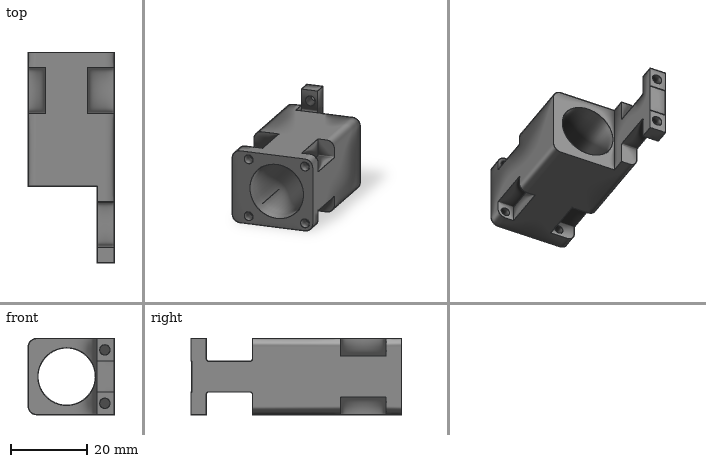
import cadquery as cq

x_left = -10.1
x_right = 12.5
half_height = 10.0
corner_radius = 2.25
bore_diameter = 15.0

body_length = 35.1
flange_length = 4.0
neck_length = 12.0
pad_thickness = 3.9
pad_step = 0.16
flange_front = -flange_length
neck_front = flange_front - neck_length
bar_front = neck_front - pad_thickness
pad_front = bar_front - pad_step

arm_x = 7.95
neck_half_height = 4.07
neck_fillet = 0.5

end_wall = 4.0
pocket_length = 12.0
pocket_back = body_length - end_wall
pocket_front = pocket_back - pocket_length
pocket_x = 5.5
pocket_floor = 5.4
pocket_fillet = 0.2

pad_hole_diameter = 2.7
pad_hole_x = 10.0
pad_hole_z = 7.0
wall_hole_diameter = 2.4
wall_hole_offset = 7.9


def box(x0, x1, y0, y1, z0, z1):
    """Axis-aligned box between two opposite corners."""
    return cq.Workplane("XY").box(x1 - x0, y1 - y0, z1 - z0, centered=False).translate((x0, y0, z0))


def cylinder_y(x, z, diameter, y0, y1):
    """Cylinder parallel to Y between two stations."""
    axis = cq.Vector(0, 1, 0)
    return cq.Workplane(cq.Solid.makeCylinder(diameter / 2, y1 - y0, cq.Vector(x, y0, z), axis))


def make_block():
    """Rounded block whose front is cut back to leave the flange on the right."""
    block = box(x_left, x_right, flange_front, body_length, -half_height, half_height)
    block = block.edges("|Y").fillet(corner_radius)
    front_relief = box(x_left, arm_x, flange_front, 0, -half_height, half_height)
    return block.cut(front_relief)


def make_arm():
    """Neck, cross bar and two raised screw pads in front of the flange."""
    neck = box(arm_x, x_right, neck_front, flange_front, -neck_half_height, neck_half_height)
    pads = box(arm_x, x_right, pad_front, neck_front, -half_height, half_height)
    step = box(arm_x, x_right, pad_front, bar_front, -neck_half_height, neck_half_height)
    return neck.union(pads.cut(step))


def fillet_neck(part):
    """Round the four inside corners where the neck meets the flange and the bar."""
    margin = neck_fillet
    near_neck = cq.selectors.BoxSelector(
        (arm_x - margin, neck_front - margin, -neck_half_height - margin),
        (x_right + margin, flange_front + margin, neck_half_height + margin),
    )
    return part.edges("|X").edges(near_neck).fillet(neck_fillet)


def pocket(x0, x1, side):
    """Corner pocket above (side=1) or below (side=-1) the axis, with rounded floor ends."""
    z0, z1 = sorted((side * pocket_floor, side * half_height))
    floor_edges = "<Z" if side > 0 else ">Z"
    block = box(x0, x1, pocket_front, pocket_back, z0, z1)
    return block.faces(floor_edges).edges("|X").fillet(pocket_fillet)


result = fillet_neck(make_block().union(make_arm()))
result = result.cut(cylinder_y(0, 0, bore_diameter, 0, body_length))

for side in (1, -1):
    result = result.cut(pocket(x_left, -pocket_x, side))
    result = result.cut(pocket(pocket_x, x_right, side))
    for wall_hole_x in (-wall_hole_offset, wall_hole_offset):
        wall_hole_z = side * wall_hole_offset
        wall_hole = cylinder_y(wall_hole_x, wall_hole_z, wall_hole_diameter, pocket_back, body_length)
        result = result.cut(wall_hole)
    result = result.cut(cylinder_y(pad_hole_x, side * pad_hole_z, pad_hole_diameter, pad_front, neck_front))